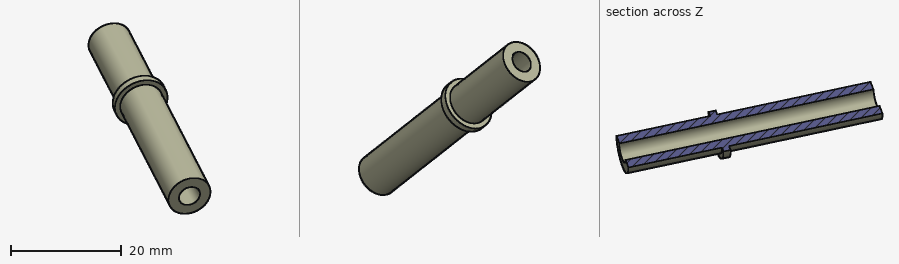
import cadquery as cq

total_length = 47.8
tube_diameter = 8.0
bore_diameter = 4.0
collar_diameter = 10.0
collar_width = 1.4
collar_offset = 17.6


def cylinder_along_x(start_x, length, diameter):
    """Solid cylinder centred on the X axis."""
    return cq.Workplane("YZ", origin=(start_x, 0, 0)).circle(diameter / 2).extrude(length)


tube = cylinder_along_x(0, total_length, tube_diameter)
collar = cylinder_along_x(collar_offset, collar_width, collar_diameter)
bore = cylinder_along_x(0, total_length, bore_diameter)

result = tube.union(collar).cut(bore)